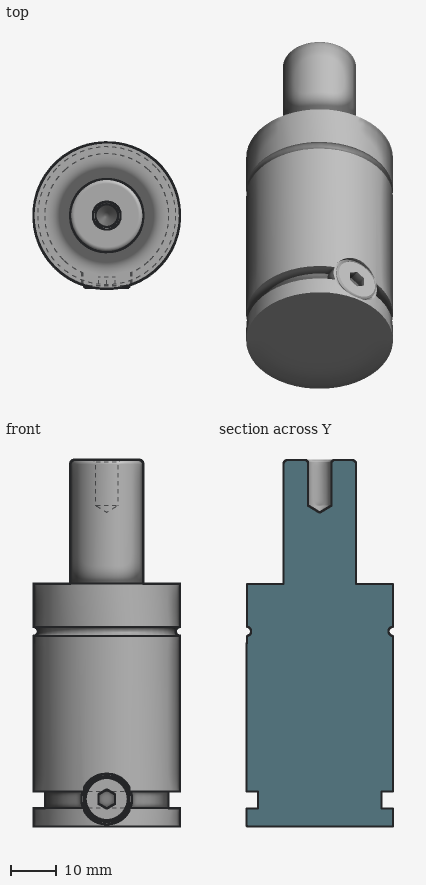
import cadquery as cq
import math

total_height = 80.0
body_diameter = 32.0
body_radius = body_diameter / 2
body_height = 53.0
rod_diameter = 16.0
rod_edge_radius = 1.0

cap_groove_radius = 1.0
cap_groove_z = 42.6

base_groove_bottom = 4.0
base_groove_top = 7.6
base_groove_diameter = 27.0

rod_hole_diameter = 5.0
rod_hole_mouth_diameter = 6.1
rod_hole_depth = 10.0
drill_tip_angle = 118.0

plug_z = 6.0
plug_seat_diameter = 11.0
plug_seat_y = -15.2
plug_diameter = 10.0
plug_face_y = -15.8
plug_chamfer = 0.4
hex_across_flats = 3.6
hex_depth = 2.4


def cylinder_along_y(diameter, y_start, y_end):
    """Cylinder on the plug axis, from y_start outward to y_end."""
    plane = cq.Workplane("XZ", origin=(0, y_start, plug_z))
    return plane.circle(diameter / 2).extrude(y_start - y_end)


def make_body():
    body = cq.Workplane("XY").circle(body_radius).extrude(body_height)
    cap_groove = (
        cq.Workplane("XZ")
        .center(body_radius, cap_groove_z)
        .circle(cap_groove_radius)
        .revolve(360, (-body_radius, 0), (-body_radius, 1))
    )
    base_groove = (
        cq.Workplane("XY", origin=(0, 0, base_groove_bottom))
        .circle(body_diameter)
        .circle(base_groove_diameter / 2)
        .extrude(base_groove_top - base_groove_bottom)
    )
    return body.cut(cap_groove).cut(base_groove)


def make_rod():
    rod = (
        cq.Workplane("XY", origin=(0, 0, body_height))
        .circle(rod_diameter / 2)
        .extrude(total_height - body_height)
        .faces(">Z")
        .edges()
        .fillet(rod_edge_radius)
    )
    hole_radius = rod_hole_diameter / 2
    mouth_radius = rod_hole_mouth_diameter / 2
    hole_bottom = total_height - rod_hole_depth
    tip_depth = hole_radius / math.tan(math.radians(drill_tip_angle / 2))
    hole = (
        cq.Workplane("XZ")
        .moveTo(0, total_height)
        .lineTo(mouth_radius, total_height)
        .lineTo(hole_radius, total_height - (mouth_radius - hole_radius))
        .lineTo(hole_radius, hole_bottom)
        .lineTo(0, hole_bottom - tip_depth)
        .close()
        .revolve(360, (0, 0), (0, 1))
    )
    return rod.cut(hole)


def add_plug(body):
    envelope = cq.Workplane("XY").circle(body_radius).extrude(body_height)
    seat = cylinder_along_y(plug_seat_diameter, 0, plug_seat_y).intersect(envelope)
    clearance = cylinder_along_y(plug_seat_diameter, plug_seat_y, -body_diameter)
    plug = cylinder_along_y(plug_diameter, 0, plug_face_y).faces("<Y").edges().chamfer(plug_chamfer)
    hex_across_corners = hex_across_flats / math.cos(math.pi / 6)
    hex_socket = (
        cq.Workplane("XZ", origin=(0, plug_face_y + hex_depth, plug_z))
        .transformed(rotate=(0, 0, 90))
        .polygon(6, hex_across_corners)
        .extrude(hex_depth)
    )
    return body.union(seat).cut(clearance).union(plug).cut(hex_socket)


result = add_plug(make_body()).union(make_rod())